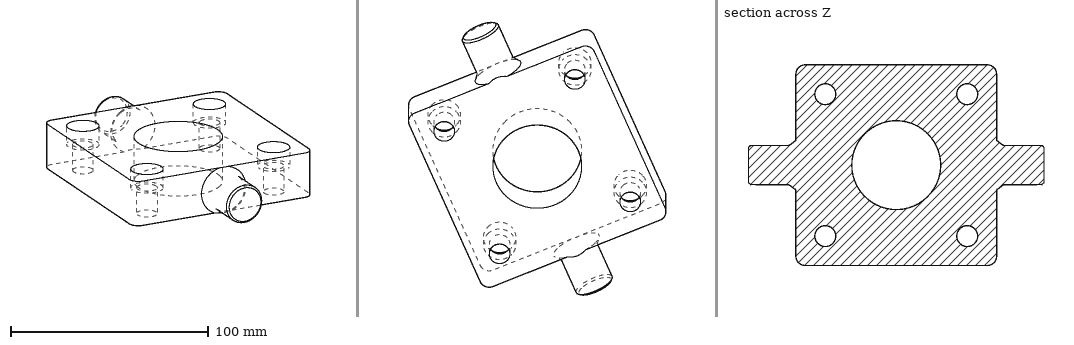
import cadquery as cq

overall_length = 150.0
plate_side = 102.0
plate_thickness = 24.0
corner_radius = 5.0
bore_diameter = 45.0

hole_spacing = 72.0
hole_diameter = 10.5
counterbore_diameter = 16.5
counterbore_depth = 10.0

pin_diameter = 20.1
pin_end_chamfer = 1.0
pin_axis_drop = 0.5
flare_diameter = 25.2
flare_length = 3.3
flare_root_fillet = 1.2


def make_plate():
    """Square plate with rounded corners and a central bore, centred on the origin."""
    plate = cq.Workplane("XY").box(plate_side, plate_side, plate_thickness)
    plate = plate.edges("|Z").fillet(corner_radius)
    return plate.faces(">Z").workplane().hole(bore_diameter)


def drill_mounting_holes(plate):
    """Four through holes on a square, counterbored from the top."""
    return (
        plate.faces(">Z").workplane(origin=(0, 0, 0))
        .rect(hole_spacing, hole_spacing, forConstruction=True)
        .vertices()
        .cboreHole(hole_diameter, counterbore_diameter, counterbore_depth)
    )


def make_pin():
    """Pin on the +X face: a conical flare, a cylinder and a chamfered end."""
    face_x = plate_side / 2
    flare_end_x = face_x + flare_length
    pin_end_x = overall_length / 2
    pin_radius = pin_diameter / 2
    pin = (
        cq.Workplane("XY")
        .moveTo(face_x, 0)
        .lineTo(face_x, flare_diameter / 2)
        .lineTo(flare_end_x, pin_radius)
        .lineTo(pin_end_x - pin_end_chamfer, pin_radius)
        .lineTo(pin_end_x, pin_radius - pin_end_chamfer)
        .lineTo(pin_end_x, 0)
        .close()
        .revolve(360, (0, 0, 0), (1, 0, 0))
    )
    flare_corner = cq.selectors.BoxSelector(
        (flare_end_x - flare_length / 2, -pin_diameter, -pin_diameter),
        (flare_end_x + flare_length / 2, pin_diameter, pin_diameter),
    )
    pin = pin.edges("%CIRCLE").edges(flare_corner).fillet(flare_root_fillet)
    pin = pin.translate((0, 0, -pin_axis_drop))
    trim = cq.Workplane("XY").box(overall_length, plate_side, plate_thickness)
    return pin.intersect(trim)


right_pin = make_pin()
left_pin = right_pin.mirror("YZ")
result = drill_mounting_holes(make_plate()).union(right_pin).union(left_pin)